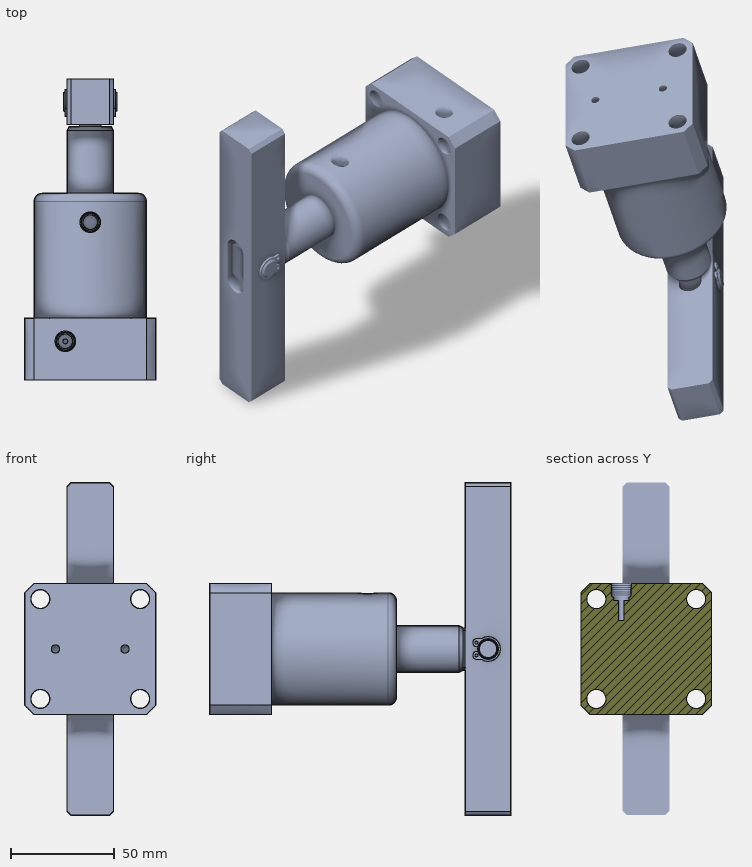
import cadquery as cq
import math


FLANGE_SIDE = 63.0
FLANGE_DEPTH = 30.0
FLANGE_CHAMFER = 4.5
BARREL_RADIUS = 27.0
BARREL_END_Y = 90.0
BARREL_FILLET = 4.0
BOLT_SPACING = 48.0
BOLT_DIAMETER = 9.0
LOCATING_SPACING = 33.5
LOCATING_DIAMETER = 4.0
LOCATING_DEPTH = 8.0
DRILL_POINT_ANGLE = 118.0

PORT_MOUTH_RADIUS = 5.0
PORT_ENTRY_HEIGHT = 1.6
PORT_TAPER = 1 / 32
THREAD_PITCH = 0.91
THREAD_HEIGHT = 0.58
THREAD_COUNT = 7
CORE_RADIUS = 3.5
PORT_DEPTH = 8.0
BARREL_PORT_Y = 76.0
FLANGE_PORT_X = -12.0
FLANGE_PORT_Y = 18.7
PASSAGE_DIAMETER = 2.4
PASSAGE_DEPTH = 9.6

ROD_RADIUS = 11.2
ROD_START_Y = FLANGE_DEPTH
ROD_EDGE_LENGTH = 2.0
ROD_EDGE_STEP = 1.0
TONGUE_RADIUS = ROD_RADIUS - ROD_EDGE_STEP
TONGUE_THICKNESS = 10.4

ARM_LENGTH = 160.0
ARM_WIDTH = 22.4
ARM_DEPTH = 22.0
ARM_BACK_Y = 145.0
ARM_FRONT_Y = ARM_BACK_Y - ARM_DEPTH
ARM_CHAMFER = 2.0
ARM_GAP = 1.0
ROD_SHOULDER_Y = ARM_FRONT_Y - ARM_GAP
SLOT_WIDTH = 11.2
SLOT_LENGTH = 32.0

PIN_Y = ARM_BACK_Y - ARM_DEPTH / 2
PIN_RADIUS = 5.0
PIN_OVERHANG = 1.8
PIN_CHAMFER = 0.8
PIN_LENGTH = ARM_WIDTH + 2 * PIN_OVERHANG
TONGUE_WALL = 3.2
TONGUE_END_Y = PIN_Y + PIN_RADIUS + TONGUE_WALL
RING_THICKNESS = 1.0
RING_INNER_RADIUS = 4.5
RING_OUTER_RADIUS = 6.0
RING_GAP = 2.2
EAR_REACH = 7.2
EAR_HALF_SPAN = 5.0
EAR_WIDTH = EAR_HALF_SPAN - RING_GAP / 2
EAR_FILLET = 1.6
EAR_HOLE_DIAMETER = 1.5
EAR_HOLE_OFFSET = 5.6
EAR_HOLE_HALF_SPACING = RING_GAP / 2 + EAR_WIDTH / 2


def cylinder_y(radius, y_start, y_end):
    """Cylinder on the Y axis between two Y positions."""
    return cq.Workplane("XZ", origin=(0, y_start, 0)).circle(radius).extrude(y_start - y_end)


def cylinder_x(radius, length):
    """Cylinder on the pivot axis, centred on the YZ plane."""
    return cq.Workplane("YZ").center(PIN_Y, 0).circle(radius).extrude(length / 2, both=True)


def threaded_port(x, y, surface_z):
    """Cutter for a tapered port: V-shaped thread grooves above a plain core hole."""
    entry_radius = PORT_MOUTH_RADIUS - THREAD_HEIGHT
    points = [
        (0, PORT_ENTRY_HEIGHT),
        (PORT_MOUTH_RADIUS, PORT_ENTRY_HEIGHT),
        (PORT_MOUTH_RADIUS, 0),
        (entry_radius, 0),
    ]
    for turn in range(THREAD_COUNT):
        groove_depth = (turn + 0.5) * THREAD_PITCH
        crest_depth = (turn + 1) * THREAD_PITCH
        groove_radius = PORT_MOUTH_RADIUS - groove_depth * PORT_TAPER
        crest_radius = PORT_MOUTH_RADIUS - crest_depth * PORT_TAPER - THREAD_HEIGHT
        points.append((groove_radius, -groove_depth))
        points.append((crest_radius, -crest_depth))
    points += [(CORE_RADIUS, -THREAD_COUNT * THREAD_PITCH), (CORE_RADIUS, -PORT_DEPTH), (0, -PORT_DEPTH)]
    profile = cq.Workplane("XZ").polyline(points).close()
    return profile.revolve(360, (0, 0), (0, 1)).translate((x, y, surface_z))


def locating_hole(x):
    """Cutter for a blind hole with a conical drill point, entering from the mounting face."""
    radius = LOCATING_DIAMETER / 2
    point_length = radius / math.tan(math.radians(DRILL_POINT_ANGLE / 2))
    tip = LOCATING_DEPTH + point_length
    profile = cq.Workplane("XY").polyline([(0, 0), (radius, 0), (radius, LOCATING_DEPTH), (0, tip)]).close()
    return profile.revolve(360, (0, 0), (0, 1)).translate((x, 0, 0))


def make_housing():
    flange = cq.Workplane("XZ").rect(FLANGE_SIDE, FLANGE_SIDE).extrude(-FLANGE_DEPTH)
    flange = flange.edges("|Y").chamfer(FLANGE_CHAMFER)
    barrel = cylinder_y(BARREL_RADIUS, FLANGE_DEPTH, BARREL_END_Y)
    barrel = barrel.faces(">Y").edges().fillet(BARREL_FILLET)
    body = flange.union(barrel)

    bolt_holes = (
        cq.Workplane("XZ")
        .rect(BOLT_SPACING, BOLT_SPACING, forConstruction=True)
        .vertices()
        .circle(BOLT_DIAMETER / 2)
        .extrude(-FLANGE_DEPTH)
    )
    body = body.cut(bolt_holes)
    for side in (-1, 1):
        body = body.cut(locating_hole(side * LOCATING_SPACING / 2))

    flange_top = FLANGE_SIDE / 2
    body = body.cut(threaded_port(0, BARREL_PORT_Y, BARREL_RADIUS))
    body = body.cut(threaded_port(FLANGE_PORT_X, FLANGE_PORT_Y, flange_top))
    passage_top = flange_top - PORT_DEPTH
    passage = (
        cq.Workplane("XY", origin=(FLANGE_PORT_X, FLANGE_PORT_Y, passage_top))
        .circle(PASSAGE_DIAMETER / 2)
        .extrude(-PASSAGE_DEPTH)
    )
    body = body.cut(passage)
    return body.cut(cylinder_y(ROD_RADIUS, ROD_START_Y, BARREL_END_Y))


def make_rod():
    """Round rod with a flat-sided tongue drilled for the pivot pin."""
    rod = cylinder_y(ROD_RADIUS, ROD_START_Y, ROD_SHOULDER_Y)
    rod = rod.faces(">Y").chamfer(ROD_EDGE_LENGTH, ROD_EDGE_STEP)
    tongue = cylinder_y(TONGUE_RADIUS, ROD_SHOULDER_Y, TONGUE_END_Y)
    flats = cq.Workplane("XZ").rect(TONGUE_THICKNESS, 2 * ROD_RADIUS).extrude(-ARM_BACK_Y)
    rod = rod.union(tongue.intersect(flats))
    return rod.cut(cylinder_x(PIN_RADIUS, PIN_LENGTH))


def make_arm():
    """Square bar with chamfered ends, a slot for the tongue and a cross hole for the pin."""
    arm = cq.Workplane("XZ", origin=(0, ARM_FRONT_Y, 0)).rect(ARM_WIDTH, ARM_LENGTH).extrude(-ARM_DEPTH)
    arm = arm.edges("|Y").chamfer(ARM_CHAMFER)
    slot = (
        cq.Workplane("XZ", origin=(0, ARM_FRONT_Y, 0))
        .slot2D(SLOT_LENGTH, SLOT_WIDTH, 90)
        .extrude(-ARM_DEPTH)
    )
    return arm.cut(slot).cut(cylinder_x(PIN_RADIUS, ARM_WIDTH))


def ring_plane():
    """Workplane on the +X face of the arm, centred on the pin, with local x along Y."""
    return cq.Workplane("YZ", origin=(ARM_WIDTH / 2, PIN_Y, 0))


def make_pin():
    """Pivot pin with chamfered ends and a groove for a retaining ring on each side of the arm."""
    pin = cylinder_x(PIN_RADIUS, PIN_LENGTH).faces("<X or >X").chamfer(PIN_CHAMFER)
    groove = ring_plane().circle(PIN_RADIUS).circle(RING_INNER_RADIUS).extrude(RING_THICKNESS)
    return pin.cut(groove).cut(groove.mirror("YZ"))


def make_ring(side):
    """Split retaining ring whose two drilled ears point towards the housing."""
    ring = ring_plane().circle(RING_OUTER_RADIUS).extrude(RING_THICKNESS)
    opening = ring_plane().center(-EAR_REACH / 2, 0).rect(EAR_REACH, RING_GAP).extrude(RING_THICKNESS)
    ears = (
        ring_plane()
        .pushPoints([(-EAR_REACH / 2, z * EAR_HOLE_HALF_SPACING) for z in (-1, 1)])
        .rect(EAR_REACH, EAR_WIDTH)
        .extrude(RING_THICKNESS)
        .edges("|X and <Y")
        .fillet(EAR_FILLET)
    )
    ear_holes = (
        ring_plane()
        .pushPoints([(-EAR_HOLE_OFFSET, z * EAR_HOLE_HALF_SPACING) for z in (-1, 1)])
        .circle(EAR_HOLE_DIAMETER / 2)
        .extrude(RING_THICKNESS)
    )
    bore = ring_plane().circle(RING_INNER_RADIUS).extrude(RING_THICKNESS)
    ring = ring.union(ears).cut(bore).cut(opening).cut(ear_holes)
    return ring if side > 0 else ring.mirror("YZ")


housing = make_housing()
rod = make_rod()
arm = make_arm()
pin = make_pin()
rings = [make_ring(side) for side in (-1, 1)]

bodies = [housing, rod, arm, pin, *rings]
result = cq.Compound.makeCompound([body.val() for body in bodies])